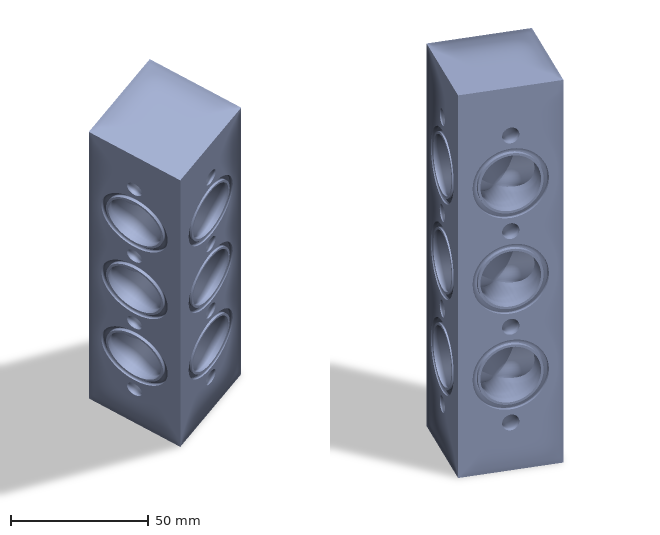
import cadquery as cq

width = 40.0
height = 160.0

pitch = width
port_levels = [-pitch, 0.0, pitch]
small_levels = [-1.5 * pitch, -0.5 * pitch, 0.5 * pitch, 1.5 * pitch]

bore_diameter = 23.0
groove_inner_diameter = 25.0
groove_outer_diameter = 29.0
groove_depth = 1.5

small_diameter = 6.5


def through_cylinder(diameter, level):
    """Cylinder along Y, spanning the full bar width."""
    return cq.Workplane("XZ").center(0, level).circle(diameter / 2).extrude(width / 2, both=True)


def groove_pair(level):
    """Rings about a Y axis, one sunk into each of the two opposite faces."""
    sleeve = through_cylinder(groove_outer_diameter, level).cut(
        through_cylinder(groove_inner_diameter, level)
    )
    core = cq.Workplane("XY").box(width, width - 2 * groove_depth, height)
    return sleeve.cut(core)


def drill(body, cutter):
    """Cut along Y, then along X with the same cutter turned about Z."""
    turned = cutter.rotate((0, 0, 0), (0, 0, 1), 90)
    return body.cut(cutter).cut(turned)


result = cq.Workplane("XY").box(width, width, height)

for level in port_levels:
    result = drill(result, through_cylinder(bore_diameter, level))
    result = drill(result, groove_pair(level))

for level in small_levels:
    result = drill(result, through_cylinder(small_diameter, level))